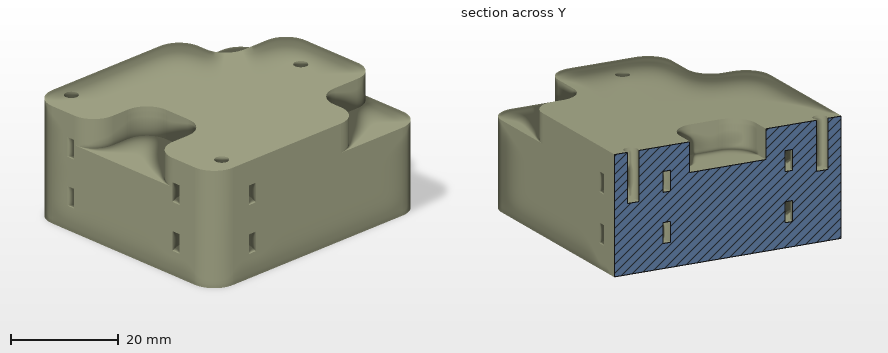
import cadquery as cq

width = 48.0
depth = 54.0
height = 24.0
corner_radius = 5.0

step = 6.0
deck_radius = 5.0
tab_width = 24.0
tab_length = 16.0
notch_width = 16.0
notch_depth = 14.0

hole_diameter = 2.8
hole_depth = 10.0
hole_spacing = 40.0
front_hole_y = -21.0
rear_hole_y = front_hole_y + hole_spacing

channel_inner_radius = 6.5
channel_outer_radius = 8.0
channel_centre_inset = 4.0
channel_height = 4.0
channel_bottoms = (5.0, 15.0)

half_width = width / 2
half_depth = depth / 2
step_level = height - step


def make_deck():
    """Outline of the raised deck: full-width body, rear tab and front notch, all corners rounded."""
    shoulder_y = half_depth - tab_length
    notch_end_y = notch_depth - half_depth
    right_side = [
        (notch_width / 2, notch_end_y),
        (notch_width / 2, -half_depth),
        (half_width, -half_depth),
        (half_width, shoulder_y),
        (tab_width / 2, shoulder_y),
        (tab_width / 2, half_depth),
    ]
    left_side = [(-x, y) for x, y in reversed(right_side)]
    deck = cq.Workplane("XY").workplane(offset=step_level)
    deck = deck.polyline(right_side + left_side).close().extrude(step)
    return deck.edges("|Z").fillet(deck_radius)


def make_base():
    base = cq.Workplane("XY").box(width, depth, step_level, centered=(True, True, False))
    return base.edges("|Z").fillet(corner_radius)


def make_screw_holes():
    hole_centres = [
        (-hole_spacing / 2, front_hole_y),
        (hole_spacing / 2, front_hole_y),
        (0, rear_hole_y),
    ]
    holes = cq.Workplane("XY").workplane(offset=height).pushPoints(hole_centres)
    return holes.circle(hole_diameter / 2).extrude(-hole_depth)


def make_tie_channel(side, bottom):
    """Ring around a front corner; side is -1 for the left corner and +1 for the right one."""
    centre_x = side * (half_width - channel_centre_inset)
    centre_y = channel_centre_inset - half_depth
    ring = cq.Workplane("XY").workplane(offset=bottom).center(centre_x, centre_y)
    return ring.circle(channel_outer_radius).circle(channel_inner_radius).extrude(channel_height)


result = make_base().union(make_deck()).cut(make_screw_holes())
for channel_side in (-1, 1):
    for channel_bottom in channel_bottoms:
        result = result.cut(make_tie_channel(channel_side, channel_bottom))